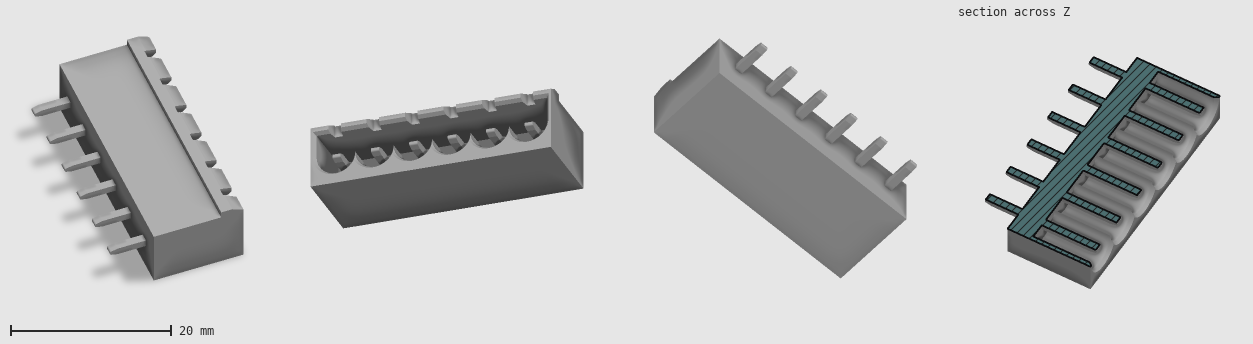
import cadquery as cq

housing_length = 31.78
housing_depth = 12.0
housing_height = 7.9
crown_height = 0.9
crown_depth = 3.0
crown_slope_depth = 1.5
crown_slope_drop = 0.65

pin_count = 6
pin_pitch = 5.1
pin_width = 1.08
pin_thickness = 1.0
pin_center_z = 4.15
pin_protrusion = 4.8
pin_recess = 0.7
tip_length = 1.0
tip_thickness = 0.48
tip_radius = 0.22

bay_radius = pin_pitch / 2
bay_depth = 8.58
top_wall = 1.55
lead_in_depth = 0.5
lead_in_width = 0.35

slot_depth = 1.7
slot_mouth_width = 1.65
slot_end_width = 1.05

overall_height = housing_height + crown_height
ceiling_z = overall_height - top_wall
pin_positions = [(i - (pin_count - 1) / 2) * pin_pitch for i in range(pin_count)]


def make_housing():
    """Block with a raised, sloped crown along the mating edge; mating face at Y = 0."""
    profile = [
        (0, 0),
        (0, overall_height - crown_slope_drop),
        (-crown_slope_depth, overall_height),
        (-crown_depth, overall_height),
        (-crown_depth, housing_height),
        (-housing_depth, housing_height),
        (-housing_depth, 0),
    ]
    return cq.Workplane("YZ").polyline(profile).close().extrude(housing_length / 2, both=True)


def bay_outline(workplane, margin):
    """U-shaped bay outline about the pin axis, grown outward by a margin."""
    radius = bay_radius + margin
    top = ceiling_z - pin_center_z + margin
    return (
        workplane.moveTo(-radius, top)
        .lineTo(-radius, 0)
        .threePointArc((0, -radius), (radius, 0))
        .lineTo(radius, top)
        .close()
    )


def make_bay(x):
    """Bay with a flared lead-in at the mating face."""
    bay = bay_outline(cq.Workplane("XZ"), 0).extrude(bay_depth)
    mouth = bay_outline(cq.Workplane("XZ"), lead_in_width).workplane(offset=lead_in_depth)
    lead_in = bay_outline(mouth, 0).loft(ruled=True)
    return bay.union(lead_in).translate((x, 0, pin_center_z))


def make_slot(x):
    """Tapered slot from the bay up through the crown."""
    outline = [
        (-slot_mouth_width / 2, 0),
        (slot_mouth_width / 2, 0),
        (slot_end_width / 2, -slot_depth),
        (-slot_end_width / 2, -slot_depth),
    ]
    slot = cq.Workplane("XY").polyline(outline).close().extrude(overall_height - pin_center_z)
    return slot.translate((x, 0, pin_center_z))


def make_pin(x):
    """Straight pin whose two ends taper in thickness to a rounded tip."""
    half = pin_thickness / 2
    tip_half = tip_thickness / 2
    mating_end = -pin_recess
    solder_end = -housing_depth - pin_protrusion
    profile = [
        (mating_end, -tip_half),
        (mating_end, tip_half),
        (mating_end - tip_length, half),
        (solder_end + tip_length, half),
        (solder_end, tip_half),
        (solder_end, -tip_half),
        (solder_end + tip_length, -half),
        (mating_end - tip_length, -half),
    ]
    pin = cq.Workplane("YZ").polyline(profile).close().extrude(pin_width / 2, both=True)
    pin = pin.edges("|X").edges("<Y or >Y").fillet(tip_radius)
    return pin.translate((x, 0, pin_center_z))


result = make_housing()
for x in pin_positions:
    result = result.cut(make_bay(x)).cut(make_slot(x))
for x in pin_positions:
    result = result.union(make_pin(x))